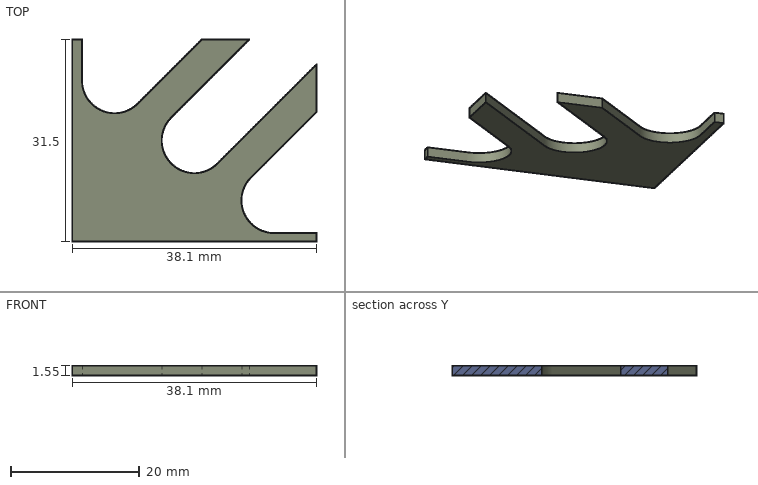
import cadquery as cq
import math

length = 38.1
width = 31.5
thickness = 1.55

notch_radius = 5.05
notch_step_x = 12.42
notch_step_y = 9.35
notch_angle = 45.0
center_x = length / 2
center_y = width / 2

reach = length + width


def straight_notch(x, y, angle):
    """Round-bottomed channel starting at (x, y) and running out along angle in degrees."""
    channel = (
        cq.Workplane("XY")
        .moveTo(0, -notch_radius)
        .lineTo(reach, -notch_radius)
        .lineTo(reach, notch_radius)
        .lineTo(0, notch_radius)
        .threePointArc((-notch_radius, 0), (0, -notch_radius))
        .close()
        .extrude(thickness)
    )
    return channel.rotate((0, 0, 0), (0, 0, 1), angle).translate((x, y, 0))


def flared_notch(x, y, first_angle, last_angle):
    """Round-bottomed notch at (x, y) whose sides open from first_angle to last_angle in degrees."""
    first = math.radians(first_angle)
    last = math.radians(last_angle)
    middle = (first + last) / 2

    start_x = x + notch_radius * math.sin(first)
    start_y = y - notch_radius * math.cos(first)
    end_x = x - notch_radius * math.sin(last)
    end_y = y + notch_radius * math.cos(last)
    bottom = (x - notch_radius * math.cos(middle), y - notch_radius * math.sin(middle))

    return (
        cq.Workplane("XY")
        .moveTo(start_x, start_y)
        .lineTo(start_x + reach * math.cos(first), start_y + reach * math.sin(first))
        .lineTo(end_x + reach * math.cos(last), end_y + reach * math.sin(last))
        .lineTo(end_x, end_y)
        .threePointArc(bottom, (start_x, start_y))
        .close()
        .extrude(thickness)
    )


plate = cq.Workplane("XY").box(length, width, thickness, centered=False)

center_notch = straight_notch(center_x, center_y, notch_angle)
left_notch = flared_notch(center_x - notch_step_x, center_y + notch_step_y, notch_angle, 90)
right_notch = flared_notch(center_x + notch_step_x, center_y - notch_step_y, 0, notch_angle)

result = plate.cut(center_notch).cut(left_notch).cut(right_notch)